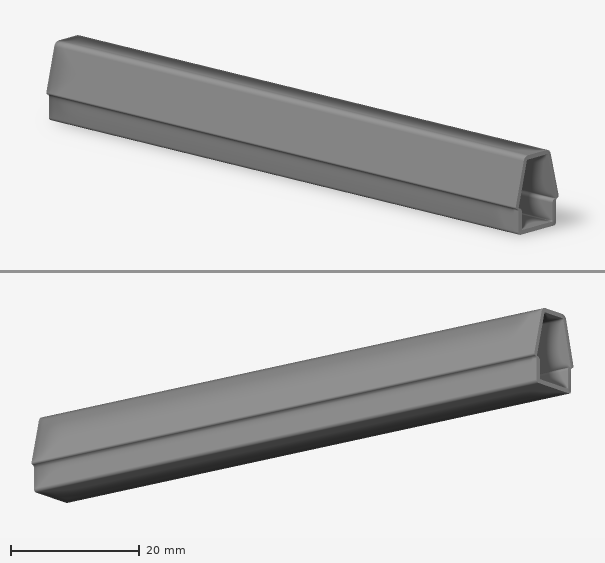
import cadquery as cq
import math

length = 100.0
width = 9.8
height = 12.5

base_width = 8.6
base_wall = 0.8
floor_thickness = 0.7
base_radius = 0.5
floor_corner_radius = 0.2

shoulder_height = 4.3
tip_radius = 0.3
root_radius = 0.4
ledge_radius = 0.6

slope_angle = math.radians(14.4)
upper_wall = 0.7
roof_thickness = 0.7
roof_radius = 1.0
roof_inner_radius = roof_radius - upper_wall

slope = math.tan(slope_angle)
shoulder_half = width / 2 - tip_radius + tip_radius * (1 / math.cos(slope_angle) + slope)
wall_across = upper_wall / math.cos(slope_angle)


def outer_half_width(z):
    """Half width of the sloping outer faces at height z."""
    return shoulder_half - (z - shoulder_height) * slope


def prism(bottom_z, lower_half, step_z, step_half, top_z, top_half):
    """Solid with a straight lower part and a wider, tapering upper part."""
    right_side = [
        (lower_half, bottom_z),
        (lower_half, step_z),
        (step_half, step_z),
        (top_half, top_z),
    ]
    left_side = [(-y, z) for y, z in reversed(right_side)]
    return (
        cq.Workplane("YZ")
        .polyline(right_side + left_side)
        .close()
        .extrude(length / 2, both=True)
    )


def round_pair(body, half, z, radius):
    """Round the two lengthwise edges at +/- half and height z."""
    for y in (-half, half):
        edge = cq.selectors.NearestToPointSelector((0, y, z))
        body = body.edges("|X").edges(edge).fillet(radius)
    return body


base_half = base_width / 2
roof_half = outer_half_width(height)
outer = prism(0, base_half, shoulder_height, shoulder_half, height, roof_half)
outer = round_pair(outer, base_half, 0, base_radius)
outer = round_pair(outer, base_half, shoulder_height, root_radius)
outer = round_pair(outer, shoulder_half, shoulder_height, tip_radius)
outer = round_pair(outer, roof_half, height, roof_radius)

cavity_half = base_half - base_wall
ledge_half = shoulder_half - wall_across
ceiling = height - roof_thickness
ceiling_half = outer_half_width(ceiling) - wall_across
cavity = prism(floor_thickness, cavity_half, shoulder_height, ledge_half, ceiling, ceiling_half)
cavity = round_pair(cavity, cavity_half, floor_thickness, floor_corner_radius)
cavity = round_pair(cavity, cavity_half, shoulder_height, ledge_radius)
cavity = round_pair(cavity, ceiling_half, ceiling, roof_inner_radius)

result = outer.cut(cavity)